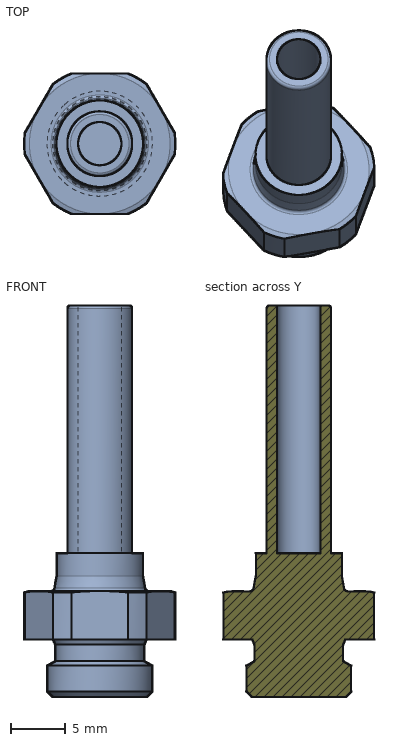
import cadquery as cq
import math

total_height = 36.2
thread_top = 2.9
groove_bottom = 3.32
groove_top = 4.85
hex_bottom = 5.3
hex_height = 4.5
hex_top = hex_bottom + hex_height
taper_top = 11.2
collar_top = 13.3

thread_diameter = 9.728
groove_diameter = 8.25
lower_flare_diameter = 8.65
taper_diameter = 8.4
collar_diameter = 8.0
tube_diameter = 6.0
bore_diameter = 4.0

thread_chamfer = 0.5
tube_edge_fillet = 0.3
root_fillet = 0.3
root_diameter = taper_diameter + 2 * root_fillet

hex_sides = 6
across_flats = 13.0
hex_corner_diameter = 14.0
hex_chamfer_angle = 15.0

bore_depth = total_height - collar_top


def make_turned_body():
    """Revolve the half outline of the thread, groove, collar and tube."""
    fillet_mid_offset = root_fillet * (1 - math.sqrt(0.5))
    fillet_middle = (taper_diameter / 2 + fillet_mid_offset, hex_top + fillet_mid_offset)
    lower_outline = [
        (0, 0),
        (thread_diameter / 2 - thread_chamfer, 0),
        (thread_diameter / 2, thread_chamfer),
        (thread_diameter / 2, thread_top),
        (groove_diameter / 2, groove_bottom),
        (groove_diameter / 2, groove_top),
        (lower_flare_diameter / 2, hex_bottom),
        (root_diameter / 2, hex_bottom),
        (root_diameter / 2, hex_top),
    ]
    profile = cq.Workplane("XZ").polyline(lower_outline)
    profile = profile.threePointArc(fillet_middle, (taper_diameter / 2, hex_top + root_fillet))
    profile = (
        profile.lineTo(collar_diameter / 2, taper_top)
        .lineTo(collar_diameter / 2, collar_top)
        .lineTo(tube_diameter / 2, collar_top)
        .lineTo(tube_diameter / 2, total_height)
        .lineTo(0, total_height)
        .close()
    )
    body = profile.revolve(360, (0, 0), (0, 1))
    return body.faces(">Z").edges().fillet(tube_edge_fillet)


def make_hexagon():
    """Hexagon with two corners on the X axis, rounded corners and a conical top chamfer."""
    across_corners = across_flats / math.cos(math.pi / hex_sides)
    hex_outline = cq.Workplane("XY").workplane(offset=hex_bottom).polygon(hex_sides, across_corners)
    prism = hex_outline.extrude(hex_height)

    corner_radius = hex_corner_diameter / 2
    top_face_radius = across_flats / 2
    chamfer_drop = (corner_radius - top_face_radius) * math.tan(math.radians(hex_chamfer_angle))
    envelope_outline = [
        (0, hex_bottom),
        (corner_radius, hex_bottom),
        (corner_radius, hex_top - chamfer_drop),
        (top_face_radius, hex_top),
        (0, hex_top),
    ]
    envelope = cq.Workplane("XZ").polyline(envelope_outline).close().revolve(360, (0, 0), (0, 1))
    return prism.intersect(envelope)


def make_bore():
    """Cylinder removed from the open end of the tube."""
    bore_floor = total_height - bore_depth
    return cq.Workplane("XY").workplane(offset=bore_floor).circle(bore_diameter / 2).extrude(bore_depth)


result = make_turned_body().union(make_hexagon()).cut(make_bore())